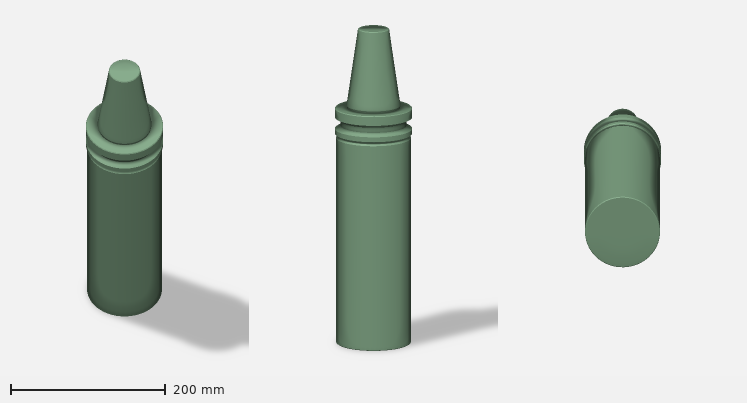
import cadquery as cq


GAUGE_DIAMETER = 69.85
TAPER_RATIO = 7 / 24
TAPER_LENGTH = 101.8
TAPER_TIP_CHAMFER = 1.0

RELIEF_DEPTH = 0.5
RELIEF_CONE_LENGTH = 1.5

FLANGE_DIAMETER = 100.0
FLANGE_TOP_Z = -3.0
FLANGE_BOTTOM_Z = -38.2
FLANGE_CHAMFER = 1.0
GROOVE_DIAMETER = 85.2
GROOVE_CENTER_Z = -23.2
GROOVE_MOUTH_WIDTH = 15.2
GROOVE_FLOOR_WIDTH = 6.9

NECK_DIAMETER = 70.0
NECK_FILLET = 1.0

BODY_DIAMETER = 97.0
BODY_TOP_Z = -41.0
BODY_BOTTOM_Z = -315.0
BODY_TOP_CHAMFER = 2.0
BODY_BOTTOM_CHAMFER = 1.0

AXIS_START = (0, 0)
AXIS_END = (0, 1)


def cylinder(diameter, bottom_z, top_z):
    """Cylinder on the Z axis between two heights."""
    return cq.Workplane("XY").workplane(offset=bottom_z).circle(diameter / 2).extrude(top_z - bottom_z)


def revolved(profile):
    """Solid of revolution of a closed (radius, z) polyline about the Z axis."""
    return cq.Workplane("XZ").polyline(profile).close().revolve(360, AXIS_START, AXIS_END)


def taper_shank():
    """Steep taper rising from the gauge plane to its chamfered tip."""
    gauge_radius = GAUGE_DIAMETER / 2
    tip_radius = gauge_radius - TAPER_LENGTH * TAPER_RATIO / 2
    profile = [(0, 0), (gauge_radius, 0), (tip_radius, TAPER_LENGTH), (0, TAPER_LENGTH)]
    shank = revolved(profile)
    return shank.faces(">Z").edges().chamfer(TAPER_TIP_CHAMFER)


def groove_cutter():
    """Ring with the trapezoidal section of the gripper groove."""
    floor_radius = GROOVE_DIAMETER / 2
    mouth_radius = FLANGE_DIAMETER / 2
    half_floor = GROOVE_FLOOR_WIDTH / 2
    half_mouth = GROOVE_MOUTH_WIDTH / 2
    section = [
        (floor_radius, GROOVE_CENTER_Z - half_floor),
        (mouth_radius, GROOVE_CENTER_Z - half_mouth),
        (mouth_radius, GROOVE_CENTER_Z + half_mouth),
        (floor_radius, GROOVE_CENTER_Z + half_floor),
    ]
    return revolved(section)


def flange():
    """Gripper flange with chamfered rims and a V-groove."""
    disc = cylinder(FLANGE_DIAMETER, FLANGE_BOTTOM_Z, FLANGE_TOP_Z)
    return disc.faces("<Z or >Z").edges().chamfer(FLANGE_CHAMFER).cut(groove_cutter())


def body():
    """Long cylinder with both end rims chamfered."""
    bar = cylinder(BODY_DIAMETER, BODY_BOTTOM_Z, BODY_TOP_Z)
    bar = bar.faces(">Z").edges().chamfer(BODY_TOP_CHAMFER)
    return bar.faces("<Z").edges().chamfer(BODY_BOTTOM_CHAMFER)


def relief_neck():
    """Neck above the flange: a short cone narrows from the taper base to a cylinder."""
    gauge_radius = GAUGE_DIAMETER / 2
    neck_radius = gauge_radius - RELIEF_DEPTH
    profile = [
        (0, 0),
        (gauge_radius, 0),
        (neck_radius, -RELIEF_CONE_LENGTH),
        (neck_radius, FLANGE_TOP_Z),
        (0, FLANGE_TOP_Z),
    ]
    return revolved(profile)


def lower_neck():
    """Neck below the flange, flaring with a fillet into the flange and the body."""
    neck_radius = NECK_DIAMETER / 2
    foot_radius = neck_radius + NECK_FILLET
    return (
        cq.Workplane("XZ")
        .moveTo(0, BODY_TOP_Z)
        .lineTo(foot_radius, BODY_TOP_Z)
        .radiusArc((neck_radius, BODY_TOP_Z + NECK_FILLET), NECK_FILLET)
        .lineTo(neck_radius, FLANGE_BOTTOM_Z - NECK_FILLET)
        .radiusArc((foot_radius, FLANGE_BOTTOM_Z), NECK_FILLET)
        .lineTo(0, FLANGE_BOTTOM_Z)
        .close()
        .revolve(360, AXIS_START, AXIS_END)
    )


result = taper_shank().union(relief_neck()).union(flange()).union(lower_neck()).union(body())